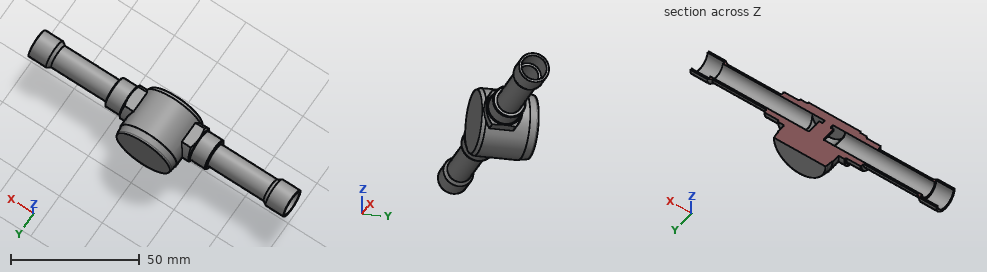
import cadquery as cq

body_radius = 26.5 / 2
body_depth = 22.8
front_y = -8.0
back_y = front_y + body_depth
front_edge_depth = 1.5
front_face_radius = 12.5
cap_y = 11.2
cap_base_radius = 13.1
cap_rim_radius = 12.7
cap_rim_y = 14.0
cap_face_radius = 12.5

overall_length = 119.0
half_length = overall_length / 2
tube_radius = 10.0 / 2
bore_radius = 8.0 / 2
socket_outer_radius = 12.1 / 2
socket_bore_radius = 10.1 / 2
socket_length = 8.2
socket_taper = 1.7
collar_radius = 13.2 / 2
collar_end_x = 23.6
collar_chamfer = 0.4

block_end_x = 16.2
block_half_height = 7.0
block_half_width = 7.4
block_flat_half_width = 4.8
block_chamfer_length = 0.7
block_end_radius = 7.0
shoulder_radius = 6.9
shoulder_end_x = 16.4
block_corner_radius = (block_half_height**2 + block_flat_half_width**2) ** 0.5

chamber_radius = 16.0 / 2
post_radius = 7.0 / 2
neck_radius = 4.2 / 2
post_step_y = -2.6


def cylinder_y(radius, y_start, y_end):
    """Solid cylinder along Y."""
    start = cq.Vector(0, y_start, 0)
    return cq.Workplane(cq.Solid.makeCylinder(radius, y_end - y_start, start, cq.Vector(0, 1, 0)))


def cylinder_x(radius, half_span):
    """Solid cylinder along X, centred on the origin."""
    return cq.Workplane("YZ").circle(radius).extrude(half_span, both=True)


def mirrored_in_x(side):
    """One side fitting together with its mirror image."""
    return side.union(side.mirror("YZ"))


def make_body():
    profile = [
        (0, front_y),
        (front_face_radius, front_y),
        (body_radius, front_y + front_edge_depth),
        (body_radius, cap_y),
        (cap_base_radius, cap_y),
        (cap_rim_radius, cap_rim_y),
        (cap_face_radius, back_y),
        (0, back_y),
    ]
    return cq.Workplane("XY").polyline(profile).close().revolve(360, (0, 0, 0), (0, 1, 0))


def make_block():
    """Flat top and bottom, bulged sides, outer end turned to a cone."""
    block = (
        cq.Workplane("YZ")
        .moveTo(-block_flat_half_width, block_half_height)
        .lineTo(block_flat_half_width, block_half_height)
        .threePointArc((block_half_width, 0), (block_flat_half_width, -block_half_height))
        .lineTo(-block_flat_half_width, -block_half_height)
        .threePointArc((-block_half_width, 0), (-block_flat_half_width, block_half_height))
        .close()
        .extrude(block_end_x)
    )
    envelope_profile = [
        (0, 0),
        (0, block_corner_radius),
        (block_end_x - block_chamfer_length, block_corner_radius),
        (block_end_x, block_end_radius),
        (block_end_x, 0),
    ]
    envelope = cq.Workplane("XY").polyline(envelope_profile).close().revolve(360, (0, 0, 0), (1, 0, 0))
    return block.intersect(envelope)


def make_tube():
    """Shoulder, collar, tube and flared socket as one turned solid."""
    socket_x = half_length - socket_length
    profile = [
        (0, 0),
        (0, shoulder_radius),
        (shoulder_end_x, shoulder_radius),
        (shoulder_end_x, collar_radius),
        (collar_end_x - collar_chamfer, collar_radius),
        (collar_end_x, collar_radius - collar_chamfer),
        (collar_end_x, tube_radius),
        (socket_x - socket_taper, tube_radius),
        (socket_x, socket_outer_radius),
        (half_length, socket_outer_radius),
        (half_length, 0),
    ]
    return cq.Workplane("XY").polyline(profile).close().revolve(360, (0, 0, 0), (1, 0, 0))


def make_passage():
    """Through bore with end sockets, and the chamber as deep as the bore."""
    bore = cylinder_x(bore_radius, half_length)
    socket = cq.Workplane("YZ", origin=(half_length - socket_length, 0, 0))
    socket = socket.circle(socket_bore_radius).extrude(socket_length)
    chamber = cylinder_y(chamber_radius, -bore_radius, bore_radius)
    return bore.union(mirrored_in_x(socket)).union(chamber)


def make_post():
    """Post joining the two chamber walls, with a thinner neck at the front."""
    neck = cylinder_y(neck_radius, front_y + front_edge_depth, post_step_y)
    post = cylinder_y(post_radius, post_step_y, cap_y)
    return neck.union(post)


fitting = make_block().union(make_tube())
result = make_body().union(mirrored_in_x(fitting)).cut(make_passage()).union(make_post())